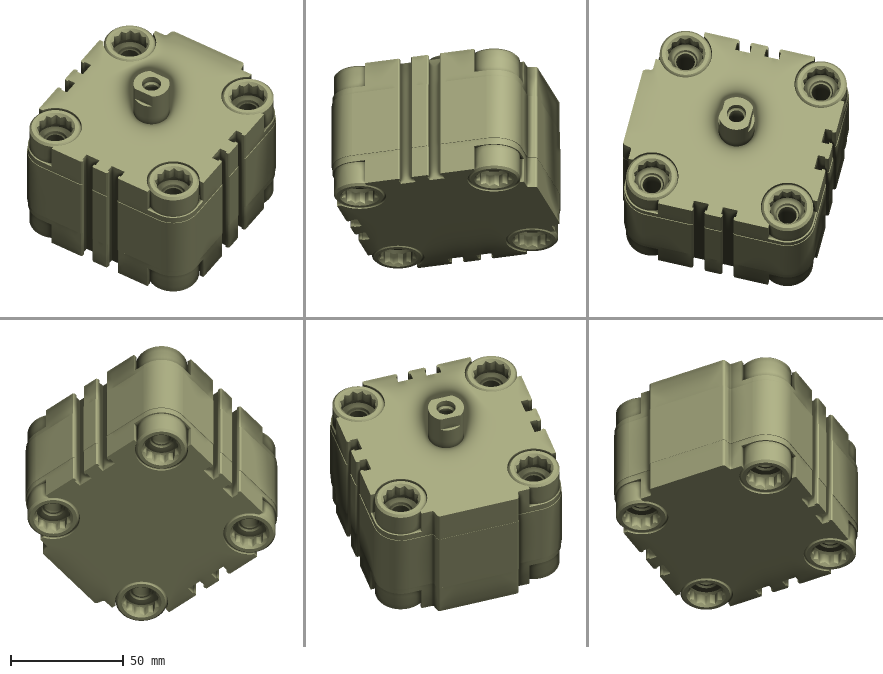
import cadquery as cq
import math

barrel_width = 87.0
cap_inset = 0.3
cap_height = 14.6
housing_height = 60.0
screw_pitch = 62.1
corner_count = 4
screw_offset = screw_pitch / 2
barrel_half = barrel_width / 2
barrel_corner_radius = barrel_half - screw_offset

overall_length = 91
ridge_top = overall_length - barrel_half
ridge_half_top = 18.8
ridge_half_base = 19.8
ridge_foot_radius = 0.8
ridge_edge_radius = 1.2
ridge_cap_inset = 0.1

slot_offset = 6.6
slot_opening = 5.3
slot_inner_width = 6.8
slot_depth = 5.4
slot_lip = 2.0
slot_lip_chamfer = 0.55

head_diameter = 23.0
head_recess_diameter = 23.6
head_height = 11.5
head_chamfer = 1.0
recess_reach = 5.8

socket_mouth_diameter = 17.65
socket_point_diameter = 16.5
socket_points = 12
mouth_bottom_diameter = 14.0
relief_start = 5.9
socket_depth = 8.1
thread_mouth_diameter = 10.7
thread_mouth_bottom_diameter = 9.8
thread_mouth_depth = 1.0
screw_hole_diameter = 8.3

rod_diameter = 16.0
rod_top = 77.5
rod_bottom = housing_height - cap_height
flat_width = 13.0
flat_height = 6.4
rod_recess_diameter = 8.55
rod_recess_depth = 3.2
rod_hole_diameter = 6.6
rod_hole_cone_depth = 0.6
rod_hole_depth = 18.2
drill_tip_angle = 118


def cylinder(diameter, z_low, z_high):
    return cq.Workplane("XY").workplane(offset=z_low).circle(diameter / 2).extrude(z_high - z_low)


def cone(low_diameter, high_diameter, z_low, z_high):
    height = z_high - z_low
    return cq.Workplane(cq.Solid.makeCone(low_diameter / 2, high_diameter / 2, height, cq.Vector(0, 0, z_low)))


def rounded_block(inset, z_low, z_high):
    width = barrel_width - 2 * inset
    block = cq.Workplane("XY").workplane(offset=z_low).rect(width, width).extrude(z_high - z_low)
    return block.edges("|Z").fillet(barrel_corner_radius - inset)


def with_ridge(block, inset, ridge_inset, z_low, z_high):
    """Add the ridge to the +Y face of a block, both drawn in from the barrel outline by their insets."""
    foot = barrel_half - inset
    top = ridge_top - ridge_inset
    foot_half = ridge_half_base - ridge_inset
    top_half = ridge_half_top - ridge_inset
    root = foot - barrel_corner_radius
    outline = [
        (-foot_half, root),
        (-foot_half, foot),
        (-top_half, top),
        (top_half, top),
        (foot_half, foot),
        (foot_half, root),
    ]
    ridge = cq.Workplane("XY").workplane(offset=z_low).polyline(outline).close().extrude(z_high - z_low)
    joined = block.union(ridge)
    z_middle = (z_low + z_high) / 2
    for half, y, radius in ((foot_half, foot, ridge_foot_radius), (top_half, top, ridge_edge_radius)):
        for x in (-half, half):
            edge = cq.selectors.NearestToPointSelector((x, y, z_middle))
            joined = joined.edges("|Z").edges(edge).fillet(radius)
    return joined


def slot_cutter(inset, z_low, z_high):
    """One T-slot in the -Y side, centred on X = 0, with lips chamfered from the face at the given inset."""
    face = -barrel_half + inset
    lip_back = -barrel_half + slot_lip
    floor = -barrel_half + slot_depth
    half_opening = slot_opening / 2
    half_inner = slot_inner_width / 2
    right_side = [
        (half_opening + slot_lip_chamfer, face),
        (half_opening, face + slot_lip_chamfer),
        (half_opening, lip_back),
        (half_inner, lip_back),
        (half_inner, floor),
    ]
    left_side = [(-x, y) for x, y in reversed(right_side)]
    outline = cq.Workplane("XY").workplane(offset=z_low).polyline(right_side + left_side).close()
    return outline.extrude(z_high - z_low)


def housing_section(inset, ridge_inset, z_low, z_high):
    """A length of the housing with its ridge and its three pairs of slots."""
    section = with_ridge(rounded_block(inset, z_low, z_high), inset, ridge_inset, z_low, z_high)
    slot = slot_cutter(inset, z_low, z_high)
    for side_angle in (-90, 0, 90):
        for x in (-slot_offset, slot_offset):
            section = section.cut(slot.translate((x, 0, 0)).rotate((0, 0, 0), (0, 0, 1), side_angle))
    return section


def corner_recess():
    """Space around the screw in the -X, -Y corner of the top cap."""
    beyond = barrel_half
    z_floor = housing_height - head_height
    corner = cq.Workplane("XY").box(beyond, beyond, head_height, centered=False)
    corner = corner.translate((recess_reach - beyond, recess_reach - beyond, z_floor))
    return corner.union(cylinder(head_recess_diameter, z_floor, housing_height))


def screw_head():
    head = cylinder(head_diameter, housing_height - head_height, housing_height)
    return head.faces(">Z").chamfer(head_chamfer)


def star_points():
    """Corners of two hexagons turned by 30 degrees against each other."""
    point_radius = socket_point_diameter / 2
    step = math.pi / socket_points
    notch_radius = point_radius * math.cos(2 * step) / math.cos(step)
    points = []
    for i in range(2 * socket_points):
        radius = notch_radius if i % 2 else point_radius
        points.append((radius * math.cos(i * step), radius * math.sin(i * step)))
    return points


def socket_cutter():
    top = housing_height
    mouth_depth = (socket_mouth_diameter - mouth_bottom_diameter) / 2
    star = cq.Workplane("XY").workplane(offset=top - relief_start).polyline(star_points()).close()
    cutter = star.extrude(relief_start)
    cutter = cutter.union(cone(mouth_bottom_diameter, socket_mouth_diameter, top - mouth_depth, top))
    cutter = cutter.union(cylinder(socket_point_diameter, top - socket_depth, top - relief_start))
    floor = top - socket_depth
    mouth_bottom = floor - thread_mouth_depth
    return cutter.union(cone(thread_mouth_bottom_diameter, thread_mouth_diameter, mouth_bottom, floor))


def at_both_ends(top_shape):
    """The shape at the top end and its mirror image at the bottom end."""
    return top_shape, top_shape.mirror("XY", (0, 0, housing_height / 2))


def in_corner(shape, corner):
    """Move a shape from the Z axis to the -X, -Y screw, then turn it to the numbered corner."""
    angle = corner * 360 / corner_count
    return shape.translate((-screw_offset, -screw_offset, 0)).rotate((0, 0, 0), (0, 0, 1), angle)


def make_housing():
    upper_seam = housing_height - cap_height
    body = housing_section(0, 0, cap_height, upper_seam)
    body = body.union(housing_section(cap_inset, ridge_cap_inset, 0, cap_height))
    body = body.union(housing_section(cap_inset, ridge_cap_inset, upper_seam, housing_height))

    recesses = at_both_ends(corner_recess())
    heads = at_both_ends(screw_head())
    sockets = at_both_ends(socket_cutter())
    screw_hole = cylinder(screw_hole_diameter, 0, housing_height)
    for corner in range(corner_count):
        for recess, head, socket in zip(recesses, heads, sockets):
            body = body.cut(in_corner(recess, corner))
            body = body.union(in_corner(head, corner))
            body = body.cut(in_corner(socket, corner))
        body = body.cut(in_corner(screw_hole, corner))

    return body.cut(cylinder(rod_diameter, rod_bottom, housing_height))


def make_rod():
    rod = cylinder(rod_diameter, rod_bottom, rod_top)
    for side in (-1, 1):
        flat = cq.Workplane("XY").box(rod_diameter, rod_diameter, flat_height)
        flat_y = side * (flat_width + rod_diameter) / 2
        rod = rod.cut(flat.translate((0, flat_y, rod_top - flat_height / 2)))

    recess_floor = rod_top - rod_recess_depth
    cone_floor = recess_floor - rod_hole_cone_depth
    hole_floor = rod_top - rod_hole_depth
    tip_depth = rod_hole_diameter / 2 / math.tan(math.radians(drill_tip_angle / 2))
    rod = rod.cut(cylinder(rod_recess_diameter, recess_floor, rod_top))
    rod = rod.cut(cone(rod_hole_diameter, rod_recess_diameter, cone_floor, recess_floor))
    rod = rod.cut(cylinder(rod_hole_diameter, hole_floor, cone_floor))
    return rod.cut(cone(0, rod_hole_diameter, hole_floor - tip_depth, hole_floor))


housing = make_housing()
rod = make_rod()
result = cq.Compound.makeCompound([housing.val(), rod.val()])